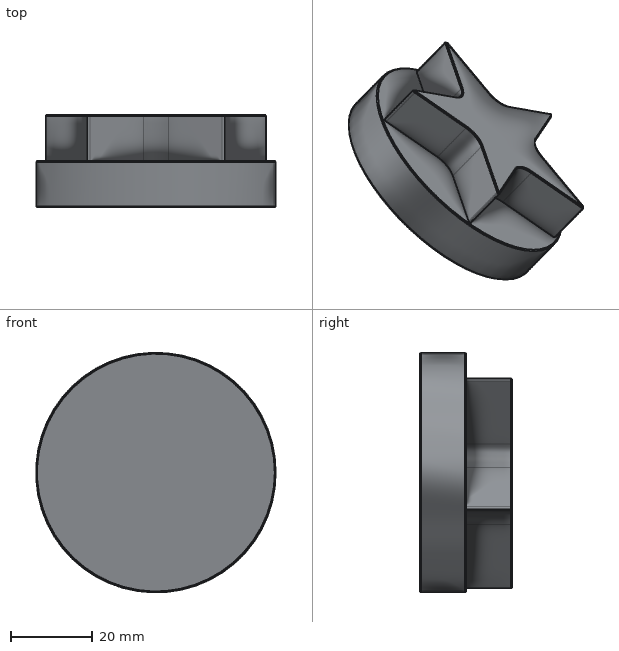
import cadquery as cq
import math

disc_diameter = 59.0
disc_thickness = 11.4
star_height = 11.3
star_points = 5
star_radius = disc_diameter / 2
tip_fillet = 0.44
notch_fillet = 5.2
edge_chamfer = 0.3

half_pitch = math.pi / star_points
notch_radius = star_radius * math.cos(2 * half_pitch) / math.cos(half_pitch)


def star_outline():
    """Corners of the star in (X, Z), alternating tips and notches, first tip towards -Z."""
    corners = []
    for i in range(2 * star_points):
        radius = star_radius if i % 2 == 0 else notch_radius
        angle = -math.pi / 2 + i * half_pitch
        corners.append((radius * math.cos(angle), radius * math.sin(angle)))
    return corners


def corner_edges(star, at_tips):
    """Edges along Y at the tips of the star, or else at its notches."""
    mid_radius = (star_radius + notch_radius) / 2
    chosen = []
    for edge in star.edges("|Y").vals():
        center = edge.Center()
        is_tip = math.hypot(center.x, center.z) > mid_radius
        if is_tip == at_tips:
            chosen.append(edge)
    return chosen


def make_disc():
    """Round plate from its front face at Y = 0 back to Y = disc_thickness, both rims chamfered."""
    disc = cq.Workplane("XZ").circle(disc_diameter / 2).extrude(-disc_thickness)
    return disc.edges("%CIRCLE").chamfer(edge_chamfer)


def make_star():
    """Five-pointed star on the back of the disc, with rounded corners and a chamfered end face."""
    disc_back = cq.Workplane("XZ", origin=(0, disc_thickness, 0))
    star = disc_back.polyline(star_outline()).close().extrude(-star_height)
    star = star.newObject(corner_edges(star, at_tips=False)).fillet(notch_fillet)
    star = star.newObject(corner_edges(star, at_tips=True)).fillet(tip_fillet)
    return star.faces(">Y").edges().chamfer(edge_chamfer)


result = make_disc().union(make_star())